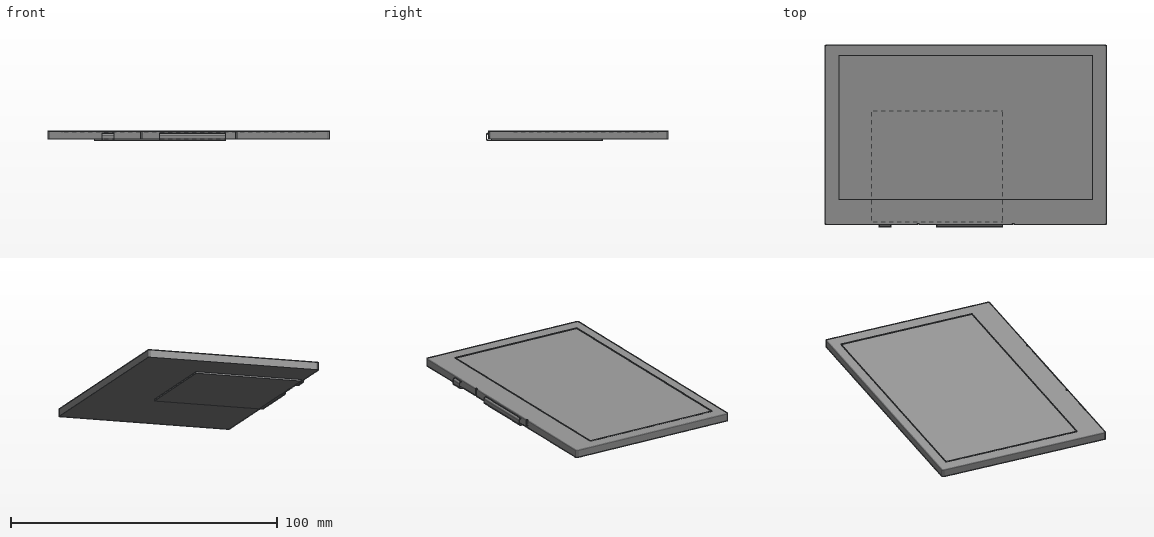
import cadquery as cq

OVERALL_LENGTH = 105.5
OVERALL_DEPTH = 68.2
OVERALL_HEIGHT = 3.6

LOOP_REACH = 0.8
LOOP_THICKNESS = 0.1
LOOP_DROP = 0.7
SMALL_LOOP_X = (-32.5, -28.1)
LARGE_LOOP_X = (-10.9, 13.8)
SHEET_LEFT = -35.3
SHEET_BACK = 42.6
SHEET_SETBACK = 1.1

PANEL_DEPTH = OVERALL_DEPTH - LOOP_REACH
PANEL_HEIGHT = 3.0
PANEL_BOTTOM = OVERALL_HEIGHT - PANEL_HEIGHT
CORNER_RADIUS = 0.6
TOP_EDGE_RADIUS = 0.16

SCREEN_LENGTH = 95.0
SCREEN_WIDTH = 53.9
SCREEN_BACK_MARGIN = 3.9
SCREEN_RECESS = 0.3

SLIT_OFFSET = 17.8
SLIT_WIDTH = 0.6
SLIT_DEPTH = 0.4


def block(x_range, y_range, z_range):
    """Axis-aligned block given by its limits along each axis."""
    size = [high - low for low, high in (x_range, y_range, z_range)]
    corner = (x_range[0], y_range[0], z_range[0])
    return cq.Workplane("XY").box(*size, centered=False).translate(corner)


def centred(middle, length):
    """Limits of a stretch of the given length about its middle."""
    return (middle - length / 2, middle + length / 2)


def make_panel():
    """Display panel with rounded outer edges, screen recess and front slits."""
    full_height = (PANEL_BOTTOM, OVERALL_HEIGHT)
    panel = block(centred(0, OVERALL_LENGTH), (0, PANEL_DEPTH), full_height)
    panel = panel.edges("|Z").fillet(CORNER_RADIUS)
    panel = panel.faces(">Z").edges().fillet(TOP_EDGE_RADIUS)

    screen_back = PANEL_DEPTH - SCREEN_BACK_MARGIN
    screen = block(
        centred(0, SCREEN_LENGTH),
        (screen_back - SCREEN_WIDTH, screen_back),
        (OVERALL_HEIGHT - SCREEN_RECESS, OVERALL_HEIGHT),
    )
    panel = panel.cut(screen)

    for slit_x in (-SLIT_OFFSET, SLIT_OFFSET):
        slit = block(centred(slit_x, SLIT_WIDTH), (0, SLIT_DEPTH), full_height)
        panel = panel.cut(slit)
    return panel


def make_loop(x_range):
    """Thin C-shaped strip from the backing sheet, round and up to the panel's front face."""
    left, right = x_range
    top = OVERALL_HEIGHT - LOOP_DROP
    outer_radius = LOOP_REACH
    inner_radius = outer_radius - LOOP_THICKNESS
    return (
        cq.Workplane("YZ", origin=(left, 0, 0))
        .moveTo(SHEET_SETBACK, 0)
        .lineTo(0, 0)
        .radiusArc((-outer_radius, outer_radius), outer_radius)
        .lineTo(-outer_radius, top - outer_radius)
        .radiusArc((0, top), outer_radius)
        .lineTo(0, top - LOOP_THICKNESS)
        .radiusArc((-inner_radius, top - outer_radius), -inner_radius)
        .lineTo(-inner_radius, outer_radius)
        .radiusArc((0, LOOP_THICKNESS), -inner_radius)
        .lineTo(SHEET_SETBACK, LOOP_THICKNESS)
        .close()
        .extrude(right - left)
    )


def make_cable():
    """Backing sheet and both loops as one flexible cable."""
    sheet_x = (SHEET_LEFT, LARGE_LOOP_X[1])
    cable = block(sheet_x, (SHEET_SETBACK, SHEET_BACK), (0, PANEL_BOTTOM))
    for loop_x in (SMALL_LOOP_X, LARGE_LOOP_X):
        cable = cable.union(make_loop(loop_x))
    return cable


panel = make_panel()
cable = make_cable()

result = cq.Compound.makeCompound([panel.val(), cable.val()])